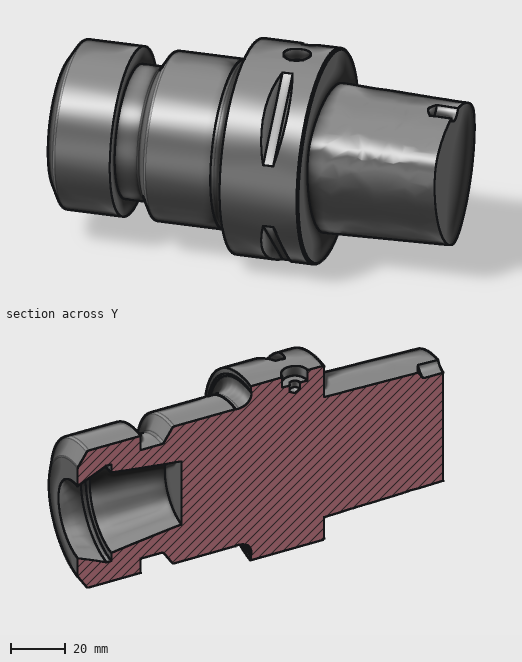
import cadquery as cq
import math

total_length = 148.0
nut_end = 25.6
body_start = 34.6
body_relief_start = 64.0
flange_blend_start = 65.3
flange_start = 70.0
flange_end = 99.9

nose_radius = 25.0
body_radius = 31.5
body_relief_radius = 31.4
flange_radius = 40.03
bevel_length = 4.0
bevel_blend = 1.2
flange_chamfer = 0.6

recess_floor_radius = 37.0
recess_rim_radius = 37.9
recess_depth = 0.3
recess_floor = flange_start + recess_depth
blend_radius = recess_floor - flange_blend_start

mouth_radius = 16.5
flare_radius = 22.0
flare_depth = 11.7
seat_start = 13.6
seat_radius = 18.4
floor_radius = 14.4
seat_taper = 8.0
seat_end = seat_start + (seat_radius - floor_radius) / math.tan(math.radians(seat_taper))

shank_start_radius = 27.7
shank_end_radius = 26.3
shank_lobe = 2.0
shank_points = 72

slot_x = 87.9
slot_count = 4
slot_floor_distance = 35.7
slot_floor_width = 3.8
slot_flank_angle = 30.0
slot_clearance = 1.5
code_hole_radius = 5.0
code_hole_depth = 4.7
pilot_radius = 2.0
pilot_depth = 3.0
pilot_tip_angle = 59.0

notch_radius = 5.0
notch_length = 8.1
notch_tip = 3.0
notch_axis_z = 26.3


def round_bevel(body, bevel_start):
    """Round the circular edges at both ends of the bevel that begins at bevel_start."""
    reach = flange_radius
    box = cq.selectors.BoxSelector(
        (bevel_start - bevel_blend, -reach, -reach),
        (bevel_start + bevel_length + bevel_blend, reach, reach),
        boundingbox=True,
    )
    return body.edges(box).edges("%CIRCLE").fillet(bevel_blend)


def make_outer_body():
    """Revolve the nut, neck, body and flange as one solid about X."""
    profile = (
        cq.Workplane("XY")
        .lineTo(0, nose_radius)
        .lineTo(bevel_length, body_radius)
        .lineTo(nut_end, body_radius)
        .lineTo(nut_end, nose_radius)
        .lineTo(body_start, nose_radius)
        .lineTo(body_start + bevel_length, body_radius)
        .lineTo(body_relief_start, body_radius)
        .lineTo(body_relief_start, body_relief_radius)
        .lineTo(flange_blend_start, body_relief_radius)
        .radiusArc((recess_floor, body_relief_radius + blend_radius), -blend_radius)
        .lineTo(recess_floor, recess_floor_radius)
        .lineTo(flange_start, recess_rim_radius)
        .lineTo(flange_start, flange_radius)
        .lineTo(flange_end - flange_chamfer, flange_radius)
        .lineTo(flange_end, flange_radius - flange_chamfer)
        .lineTo(flange_end, 0)
        .close()
    )
    body = profile.revolve(360, (0, 0, 0), (1, 0, 0))
    body = round_bevel(body, 0)
    return round_bevel(body, body_start)


def lobed_outline(mean_radius):
    """Outline points; tangents lie mean_radius + shank_lobe * sin(3 * angle) from the axis."""
    points = []
    for index in range(shank_points):
        angle = 2 * math.pi * index / shank_points
        distance = mean_radius + shank_lobe * math.sin(3 * angle)
        slope = 3 * shank_lobe * math.cos(3 * angle)
        y = distance * math.cos(angle) - slope * math.sin(angle)
        z = distance * math.sin(angle) + slope * math.cos(angle)
        points.append((y, z))
    return points


def make_shank():
    return (
        cq.Workplane("YZ", origin=(flange_end, 0, 0))
        .spline(lobed_outline(shank_start_radius), periodic=True)
        .close()
        .workplane(offset=total_length - flange_end)
        .spline(lobed_outline(shank_end_radius), periodic=True)
        .close()
        .loft(ruled=True)
    )


def make_collet_cavity():
    profile = (
        cq.Workplane("XY")
        .lineTo(0, mouth_radius)
        .lineTo(flare_depth, flare_radius)
        .lineTo(seat_start, flare_radius)
        .lineTo(seat_start, seat_radius)
        .lineTo(seat_end, floor_radius)
        .lineTo(seat_end, 0)
        .close()
    )
    return profile.revolve(360, (0, 0, 0), (1, 0, 0))


def make_slot(angle):
    """Flared slot with a flat floor, running straight across the flange rim."""
    height = flange_radius - slot_floor_distance + slot_clearance
    floor_half = slot_floor_width / 2
    top_half = floor_half + height * math.tan(math.radians(slot_flank_angle))
    floor_z = slot_floor_distance
    slot = (
        cq.Workplane("XZ")
        .polyline([
            (slot_x - floor_half, floor_z),
            (slot_x + floor_half, floor_z),
            (slot_x + top_half, floor_z + height),
            (slot_x - top_half, floor_z + height),
        ])
        .close()
        .extrude(flange_radius, both=True)
    )
    return slot.rotate((0, 0, 0), (1, 0, 0), angle)


def make_code_hole():
    """Stepped blind hole on top of the flange, ending in a drill point."""
    step_z = flange_radius - code_hole_depth
    pilot_z = step_z - pilot_depth
    tip_z = pilot_z - pilot_radius / math.tan(math.radians(pilot_tip_angle))
    profile = (
        cq.Workplane("XZ", origin=(slot_x, 0, 0))
        .moveTo(0, flange_radius)
        .lineTo(code_hole_radius, flange_radius)
        .lineTo(code_hole_radius, step_z)
        .lineTo(pilot_radius, step_z)
        .lineTo(pilot_radius, pilot_z)
        .lineTo(0, tip_z)
        .close()
    )
    return profile.revolve(360, (0, 0, 0), (0, 1, 0))


def make_notch():
    """Round-bottomed groove along X with a pointed inner end."""
    groove_start = total_length - notch_length
    profile = (
        cq.Workplane("XY", origin=(0, 0, notch_axis_z))
        .moveTo(groove_start - notch_tip, 0)
        .lineTo(groove_start, notch_radius)
        .lineTo(total_length, notch_radius)
        .lineTo(total_length, 0)
        .close()
    )
    return profile.revolve(360, (0, 0, 0), (1, 0, 0))


result = make_outer_body().union(make_shank()).cut(make_collet_cavity())
for slot_index in range(slot_count):
    result = result.cut(make_slot(360 / slot_count * (slot_index + 0.5)))
result = result.cut(make_code_hole()).cut(make_notch())